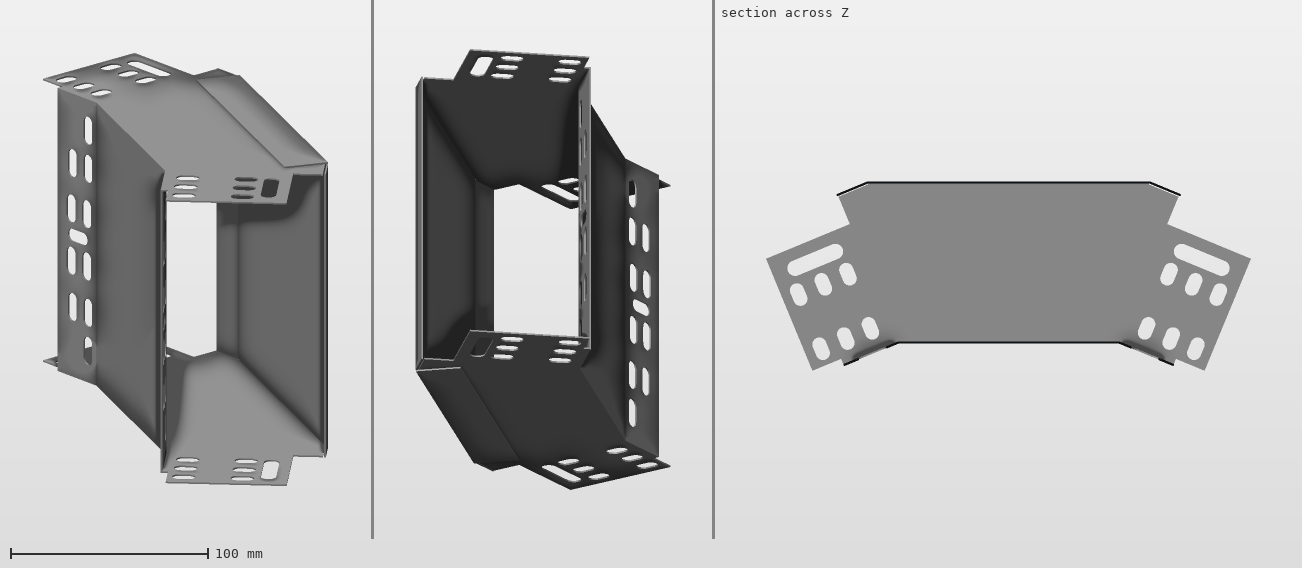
import cadquery as cq
import math

SHEET = 0.8
BEND_ANGLE = 22.5
TOTAL_HEIGHT = 153.3
TOTAL_LENGTH = 245.7
TOTAL_WIDTH = 95.8

WALL_WING_LENGTH = 30.0
FLANGE_LENGTH = 45.7
FLANGE_STEP = 3.7
FLANGE_OUTER_EDGE = 65.0
NECK_OFFSET = -0.2

COVER_HALF_LENGTH = 71.7
FLAP_HALF_LENGTH = 71.2
COVER_WING_LENGTH = 16.7
FLAP_DEPTH = 23.0
COVER_CLEARANCE = 0.7

FLANGE_SLOT_LENGTH = 11.8
FLANGE_SLOT_WIDTH = 7.1
FLANGE_SLOT_START = 10.3
FLANGE_SLOT_PITCH = 13.5
FLANGE_SLOT_COUNT = 3
FLANGE_SLOT_ROWS = (12.3, 42.0)
LONG_SLOT_LENGTH = 30.0
LONG_SLOT_WIDTH = 7.9
LONG_SLOT_DISTANCE = 55.0
LONG_SLOT_ALONG = 22.8

WALL_SLOT_LENGTH = 15.0
NARROW_SLOT_WIDTH = 6.6
WIDE_SLOT_WIDTH = 7.0
WALL_SLOT_PITCH = 12.0
NARROW_SLOT_ALONG = 6.5
WIDE_SLOT_ALONG = 7.4
OUTER_SLOT_HEIGHT = 59.0
MIDDLE_SLOT_HEIGHT = 38.5
INNER_SLOT_HEIGHT = 14.0
CROSS_SLOT_ALONG = 14.2

COS = math.cos(math.radians(BEND_ANGLE))
SIN = math.sin(math.radians(BEND_ANGLE))
MITRE = math.tan(math.radians(BEND_ANGLE / 2))
CHANNEL_HEIGHT = TOTAL_HEIGHT - 2 * SHEET
BEND_X = TOTAL_LENGTH / 2 - FLANGE_LENGTH * COS - FLANGE_OUTER_EDGE * SIN
COVER_Y = TOTAL_WIDTH - FLANGE_LENGTH * SIN + FLANGE_STEP * COS
SIDES = (-1, 1)
ENDS = (-1, 1)


def wing_point(along, behind):
    """Right-hand wing point, measured from the bend along the wall and behind its face."""
    return (BEND_X + along * COS + behind * SIN, -along * SIN + behind * COS)


def cover_point(along, inset):
    """Right-hand cover wing point, measured from the cover bend and in from its rear face."""
    return (COVER_HALF_LENGTH + along * COS - inset * SIN, COVER_Y - along * SIN - inset * COS)


def cover_bend(inset):
    """Right-hand bend corner of a line running parallel to the cover's rear face."""
    return (COVER_HALF_LENGTH - inset * MITRE, COVER_Y - inset)


def mirrored(points):
    """Close a right-hand half outline with its mirror image about X = 0."""
    return points + [(-x, y) for x, y in reversed(points)]


def plate(points, bottom, height):
    """Upright prism on a closed outline."""
    return cq.Workplane("XY").workplane(offset=bottom).polyline(points).close().extrude(height)


def on_wing(tool, side):
    """Carry a cutter from the local wing frame (X along, Y behind) to the chosen wing."""
    placed = tool.rotate((0, 0, 0), (0, 0, 1), -BEND_ANGLE).translate((BEND_X, 0, 0))
    return placed if side > 0 else placed.mirror("YZ")


def flange_slot(along, behind, length, width, direction):
    """Cutter through both flanges; direction 0 runs along the wing, 90 across it."""
    return (
        cq.Workplane("XY", origin=(along, behind, -TOTAL_HEIGHT / 2))
        .slot2D(length, width, direction)
        .extrude(TOTAL_HEIGHT)
    )


def wall_slot(along, height, width, direction):
    """Cutter through the wall wing; direction 0 runs along the wing, 90 upright."""
    return (
        cq.Workplane("XZ", origin=(along, 0, height))
        .slot2D(WALL_SLOT_LENGTH, width, direction)
        .extrude(2 * SHEET, both=True)
    )


def flange_cutters():
    cutters = [flange_slot(LONG_SLOT_ALONG, LONG_SLOT_DISTANCE, LONG_SLOT_LENGTH, LONG_SLOT_WIDTH, 0)]
    for behind in FLANGE_SLOT_ROWS:
        for i in range(FLANGE_SLOT_COUNT):
            along = FLANGE_SLOT_START + i * FLANGE_SLOT_PITCH
            cutters.append(flange_slot(along, behind, FLANGE_SLOT_LENGTH, FLANGE_SLOT_WIDTH, 90))
    return cutters


def wall_cutters():
    cutters = [wall_slot(CROSS_SLOT_ALONG, 0, NARROW_SLOT_WIDTH, 0)]
    for end in ENDS:
        cutters.append(wall_slot(NARROW_SLOT_ALONG, end * OUTER_SLOT_HEIGHT, NARROW_SLOT_WIDTH, 90))
        for step in (0, WALL_SLOT_PITCH):
            narrow_along = NARROW_SLOT_ALONG + step
            wide_along = WIDE_SLOT_ALONG + step
            cutters.append(wall_slot(narrow_along, end * MIDDLE_SLOT_HEIGHT, NARROW_SLOT_WIDTH, 90))
            cutters.append(wall_slot(wide_along, end * INNER_SLOT_HEIGHT, WIDE_SLOT_WIDTH, 90))
    return cutters


def make_channel():
    bottom = -CHANNEL_HEIGHT / 2
    wall_outline = mirrored([
        (BEND_X, 0),
        wing_point(WALL_WING_LENGTH, 0),
        wing_point(WALL_WING_LENGTH, SHEET),
        (BEND_X + SHEET * MITRE, SHEET),
    ])
    channel = plate(wall_outline, bottom, CHANNEL_HEIGHT)

    rear_inset = SHEET + COVER_CLEARANCE
    bend_x, bend_y = cover_bend(rear_inset)
    neck_end = (bend_x - BEND_X) * SIN + bend_y * COS
    flange_outline = mirrored([
        (BEND_X, 0),
        wing_point(WALL_WING_LENGTH, 0),
        wing_point(WALL_WING_LENGTH, FLANGE_STEP),
        wing_point(FLANGE_LENGTH, FLANGE_STEP),
        wing_point(FLANGE_LENGTH, FLANGE_OUTER_EDGE),
        wing_point(NECK_OFFSET, FLANGE_OUTER_EDGE),
        wing_point(NECK_OFFSET, neck_end),
        (bend_x, bend_y),
    ])
    for flange_bottom in (bottom, -bottom - SHEET):
        channel = channel.union(plate(flange_outline, flange_bottom, SHEET))

    for side in SIDES:
        for cutter in flange_cutters() + wall_cutters():
            channel = channel.cut(on_wing(cutter, side))
    return channel


def make_cover():
    wall_outline = mirrored([
        cover_bend(0),
        cover_point(COVER_WING_LENGTH, 0),
        cover_point(COVER_WING_LENGTH, SHEET),
        cover_bend(SHEET),
    ])
    cover = plate(wall_outline, -CHANNEL_HEIGHT / 2, CHANNEL_HEIGHT)
    flap_outline = mirrored([
        (FLAP_HALF_LENGTH, COVER_Y - FLAP_DEPTH),
        (FLAP_HALF_LENGTH, COVER_Y),
    ])
    for flap_bottom in (-TOTAL_HEIGHT / 2, CHANNEL_HEIGHT / 2):
        cover = cover.union(plate(flap_outline, flap_bottom, SHEET))
    return cover


channel = make_channel()
cover = make_cover()
result = cq.Compound.makeCompound([channel.val(), cover.val()])